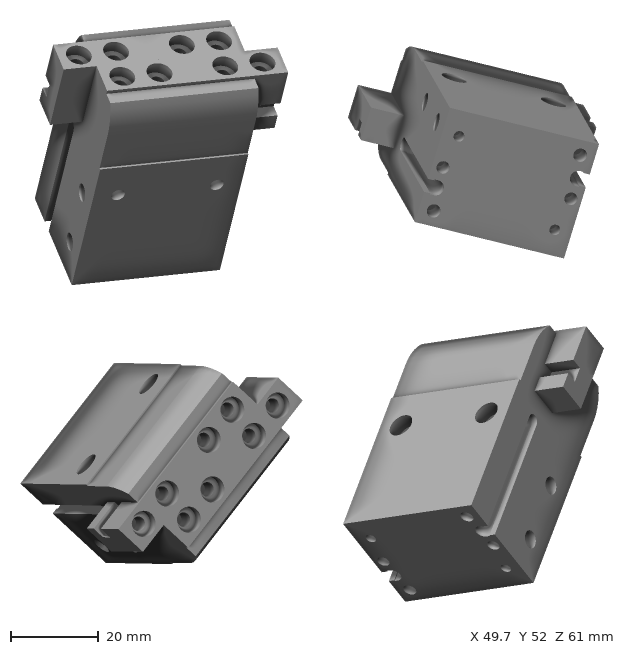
import cadquery as cq
import math

tilt_angle = 30

body_length = 36.0
body_width = 28.0
neck_width = 27.0
top_width = 22.0
body_height = 56.0
shoulder_height = 37.5
flank_arc_start = 48.0

jaw_width = 8.0
jaw_overhang = 8.0
jaw_bottom = 39.0
jaw_top = 57.0
notch_bottom = 43.0
notch_top = 47.0
notch_depth = 3.0
jaw_length = body_length + jaw_overhang
jaw_hole_offsets = (8.0, 17.0)
jaw_hole_depth = 8.0

screw_diameter = 3.3
counterbore_diameter = 6.0
jaw_counterbore_depth = 3.0
body_counterbore_depth = 3.8
body_screw_height = 28.4
body_screw_spacing = 24.0

groove_offset = 5.0
groove_end_height = 32.5
neck_radius = 1.6
neck_depth = 1.5
channel_radius = 1.8
channel_straight_depth = 2.4

port_diameter = 4.2
port_depth = 8.0
port_offset = 8.0
port_heights = (8.0, 24.0)

base_holes = (
    (-10.45, 3.5, 3.2, 6.0),
    (0, 2.55, 3.0, 6.0),
    (8.0, 4.0, 2.5, 5.0),
)

end_face = -body_length / 2


def jaw_outline():
    """Cross-section of the jaw on the -X side; its flat back lies on X = 0."""
    notch_floor = -jaw_width + notch_depth
    return [
        (0, jaw_bottom),
        (-jaw_width, jaw_bottom),
        (-jaw_width, notch_bottom),
        (notch_floor, notch_bottom),
        (notch_floor, notch_top),
        (-jaw_width, notch_top),
        (-jaw_width, jaw_top),
        (0, jaw_top),
    ]


def at_both_ends(cutter):
    """Repeat a feature of the -Y end, turned half a revolution, at the +Y end."""
    return cutter.union(cutter.rotate((0, 0, 0), (0, 0, 1), 180))


def housing_block():
    half_body = body_width / 2
    half_neck = neck_width / 2
    half_top = top_width / 2
    run = half_neck - half_top
    rise = body_height - flank_arc_start
    arc_radius = (run**2 + rise**2) / (2 * run)
    half_sweep = math.asin(rise / arc_radius) / 2
    arc_mid_x = half_neck - arc_radius * (1 - math.cos(half_sweep))
    arc_mid_z = flank_arc_start + arc_radius * math.sin(half_sweep)
    return (
        cq.Workplane("XZ", origin=(0, end_face, 0))
        .moveTo(-half_body, 0)
        .lineTo(half_body, 0)
        .lineTo(half_body, shoulder_height)
        .lineTo(half_neck, shoulder_height)
        .lineTo(half_neck, flank_arc_start)
        .threePointArc((arc_mid_x, arc_mid_z), (half_top, body_height))
        .lineTo(-half_top, body_height)
        .threePointArc((-arc_mid_x, arc_mid_z), (-half_neck, flank_arc_start))
        .lineTo(-half_neck, shoulder_height)
        .lineTo(-half_body, shoulder_height)
        .close()
        .extrude(-body_length)
    )


def t_slot():
    half_slot = (
        cq.Workplane("XZ", origin=(0, end_face, 0))
        .polyline(jaw_outline())
        .close()
        .extrude(-body_length)
    )
    return at_both_ends(half_slot)


def groove_half_section(origin):
    """Half of the groove section, from its centre line outwards, cut in from the end face."""
    arc_step = channel_radius * math.sqrt(0.5)
    return (
        cq.Workplane("XY", origin=origin)
        .lineTo(neck_radius, 0)
        .lineTo(neck_radius, neck_depth)
        .lineTo(channel_radius, neck_depth)
        .lineTo(channel_radius, channel_straight_depth)
        .threePointArc(
            (arc_step, channel_straight_depth + arc_step),
            (0, channel_straight_depth + channel_radius),
        )
        .close()
    )


def sensor_grooves():
    half_run = groove_half_section((-groove_offset, end_face, 0)).extrude(groove_end_height)
    other_half = half_run.mirror("YZ", (-groove_offset, 0, 0))
    rounded_end = groove_half_section((-groove_offset, end_face, groove_end_height)).revolve(
        360, (0, 0, 0), (0, 1, 0)
    )
    return at_both_ends(half_run.union(other_half).union(rounded_end))


def side_ports():
    ports = (
        cq.Workplane("XZ", origin=(0, end_face, 0))
        .pushPoints([(port_offset, height) for height in port_heights])
        .circle(port_diameter / 2)
        .extrude(-port_depth)
    )
    return at_both_ends(ports)


def base_hole_cutters():
    cutters = cq.Workplane("XY")
    for x, inset, diameter, depth in base_holes:
        hole = cq.Workplane("XY").center(x, end_face + inset).circle(diameter / 2).extrude(depth)
        cutters = cutters.union(hole)
    return at_both_ends(cutters)


def body_screw_holes():
    """Through holes along X, counterbored from the -X face."""
    half_spacing = body_screw_spacing / 2
    places = [(-half_spacing, body_screw_height), (half_spacing, body_screw_height)]
    face = cq.Workplane("YZ", origin=(-body_width / 2, 0, 0)).pushPoints(places)
    through = face.circle(screw_diameter / 2).extrude(body_width)
    counterbores = face.circle(counterbore_diameter / 2).extrude(body_counterbore_depth)
    return through.union(counterbores)


def make_housing():
    return (
        housing_block()
        .cut(t_slot())
        .cut(sensor_grooves())
        .cut(side_ports())
        .cut(base_hole_cutters())
        .cut(body_screw_holes())
    )


def make_jaw(turn):
    """The jaw on the -X side, sticking out at the -Y end, then turned about Z."""
    first_end = end_face - jaw_overhang
    middle = first_end + jaw_length / 2
    places = [
        (-jaw_width / 2, middle + side * offset)
        for offset in jaw_hole_offsets
        for side in (-1, 1)
    ]
    return (
        cq.Workplane("XZ", origin=(0, first_end, 0))
        .polyline(jaw_outline())
        .close()
        .extrude(-jaw_length)
        .copyWorkplane(cq.Workplane("XY", origin=(0, 0, jaw_top)))
        .pushPoints(places)
        .cboreHole(screw_diameter, counterbore_diameter, jaw_counterbore_depth, jaw_hole_depth)
        .rotate((0, 0, 0), (0, 0, 1), turn)
    )


def tilted(body):
    """The body's solid, leaning from upright towards +X."""
    return body.rotate((0, 0, 0), (0, 1, 0), tilt_angle).solids().val()


housing = make_housing()
jaws = [make_jaw(turn) for turn in (0, 180)]

result = cq.Compound.makeCompound([tilted(body) for body in (housing, *jaws)])